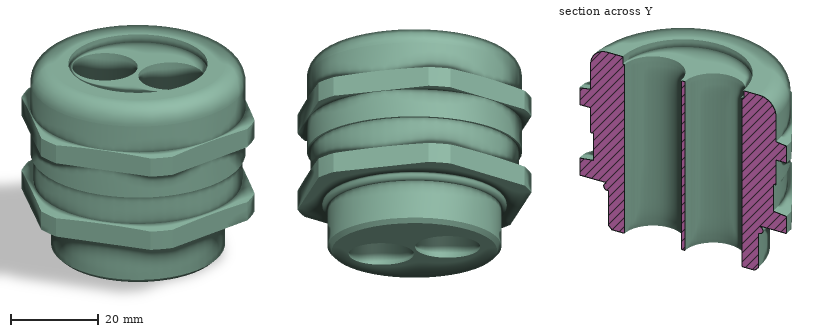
import cadquery as cq
import math

thread_top = 10.0
seal_top = 12.0
lower_hex_top = 17.0
body_top = 24.0
upper_hex_bottom = 30.5
upper_hex_top = 35.5
total_height = 46.5

thread_diameter = 40.0
seal_diameter = 42.45
body_diameter = 47.95
cap_diameter = 49.45
hex_across_flats = 50.0
hex_corner_diameter = 55.0

thread_chamfer = 1.0
cap_rounding = 4.5
hex_chamfer_height = 0.4

recess_diameter = 32.0
recess_depth = 2.0
cable_hole_diameter = 15.0
cable_hole_spacing = 16.0


def cylinder(diameter, bottom, top):
    """Round section about Z between two heights."""
    return cq.Workplane("XY").workplane(offset=bottom).circle(diameter / 2).extrude(top - bottom)


def hex_collar(bottom, top, neck_diameter):
    """Hexagon with turned corners, its upper side chamfered out from the round neck above."""
    chamfer_width = (hex_corner_diameter - neck_diameter) / 2
    across_corners = hex_across_flats / math.cos(math.pi / 6)
    hexagon = (
        cq.Workplane("XY")
        .workplane(offset=bottom)
        .polygon(6, across_corners)
        .extrude(top - bottom)
    )
    turned_blank = (
        cylinder(hex_corner_diameter, bottom, top)
        .faces(">Z")
        .chamfer(hex_chamfer_height, chamfer_width)
    )
    return hexagon.intersect(turned_blank)


thread = cylinder(thread_diameter, 0, thread_top).faces("<Z").chamfer(thread_chamfer)
seal_radius = seal_diameter / 2
rim_radius = (seal_top - thread_top) / 2
seal = (
    cq.Workplane("XZ")
    .moveTo(0, thread_top)
    .lineTo(seal_radius - rim_radius, thread_top)
    .threePointArc((seal_radius, thread_top + rim_radius), (seal_radius - rim_radius, seal_top))
    .lineTo(0, seal_top)
    .close()
    .revolve(360, (0, 0), (0, 1))
)

body = cylinder(body_diameter, seal_top, body_top)
cap = cylinder(cap_diameter, body_top, total_height).faces(">Z").edges().fillet(cap_rounding)
lower_hex = hex_collar(seal_top, lower_hex_top, body_diameter)
upper_hex = hex_collar(upper_hex_bottom, upper_hex_top, cap_diameter)

gland = thread.union(seal).union(body).union(lower_hex).union(cap).union(upper_hex)

recess = cylinder(recess_diameter, total_height - recess_depth, total_height)
cable_holes = (
    cq.Workplane("XY")
    .pushPoints([(-cable_hole_spacing / 2, 0), (cable_hole_spacing / 2, 0)])
    .circle(cable_hole_diameter / 2)
    .extrude(total_height)
)

result = gland.cut(recess).cut(cable_holes)